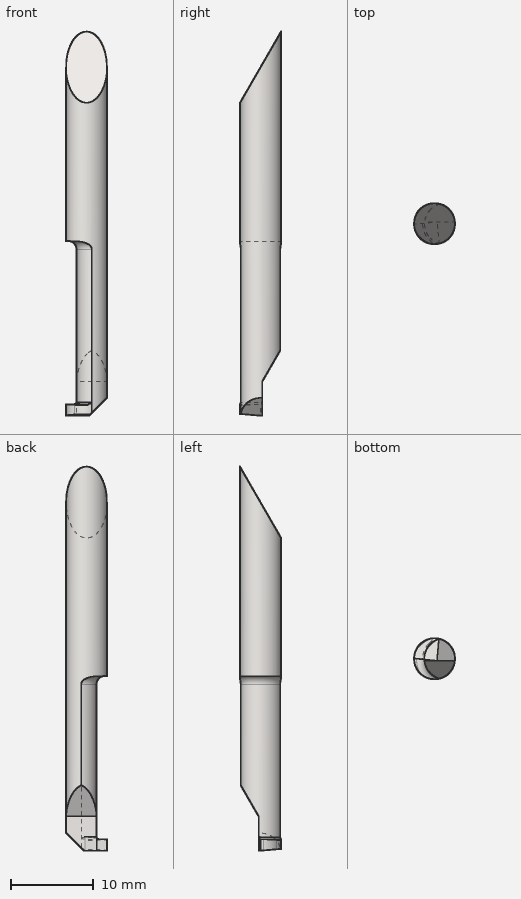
import cadquery as cq
import math

LENGTH = 46.6
DIAMETER = 5.0
RADIUS = DIAMETER / 2
END_ANGLE = 60.0
NECK_OFFSET = 1.25
SHOULDER_Z = 21.2
SHOULDER_FILLET = 1.0
FLAT_Y = 0.25
FLAT_TOP_Z = 4.2
BEVEL_HEIGHT = 2.2

HEAD_HEIGHT = 1.45
TOP_CLEARANCE = 0.15
BOTTOM_CLEARANCE = 0.25
HEAD_FILLET = 0.25
LAND_X = -2.45
LAND_Y = -0.33
FLANK_X = -2.2
FLANK_Y = -1.15
HEEL_X = -1.5
HEEL_Y = -1.9
EDGE_Y = -0.05
RAKE_END_X = 0.2
RAKE_TOP_Z = 1.72

MARGIN = 0.95
REACH = RADIUS + MARGIN
MEET_X = NECK_OFFSET / 2
MEET_Y = -math.sqrt(RADIUS**2 - MEET_X**2)


def side_prism(points):
    """Prism across the full X width from (y, z) points."""
    return cq.Workplane("YZ").polyline(points).close().extrude(REACH, both=True)


def upper_end_cut():
    slope = math.tan(math.radians(END_ANGLE))
    rise = slope * REACH
    centre_z = LENGTH - slope * RADIUS
    return side_prism([
        (-REACH, centre_z - rise),
        (REACH, centre_z + rise),
        (-REACH, centre_z + rise),
    ])


def rear_cut():
    ramp_rise = (REACH - FLAT_Y) * math.tan(math.radians(END_ANGLE))
    return side_prism([
        (FLAT_Y, -MARGIN),
        (FLAT_Y, FLAT_TOP_Z),
        (REACH, FLAT_TOP_Z + ramp_rise),
        (REACH, -MARGIN),
    ])


def bottom_clearance_cut():
    """Wedge below the end face, which rises towards the front."""
    slope = BOTTOM_CLEARANCE / (RADIUS + FLAT_Y)
    return side_prism([
        (FLAT_Y, 0),
        (-REACH, slope * (REACH + FLAT_Y)),
        (-REACH, -MARGIN),
        (FLAT_Y, -MARGIN),
    ])


def rake_cut():
    """Wedge that inclines the rear flat towards the cutting edge."""
    rise_per_x = (FLAT_Y - EDGE_Y) / (RAKE_END_X + RADIUS)
    return (
        cq.Workplane("XY")
        .workplane(offset=-MARGIN)
        .polyline([
            (RAKE_END_X, FLAT_Y),
            (-REACH, EDGE_Y - rise_per_x * MARGIN),
            (-REACH, REACH),
            (RAKE_END_X, REACH),
        ])
        .close()
        .extrude(MARGIN + RAKE_TOP_Z)
    )


def concave_fillet(start, radius, turn):
    """Middle and end of an outward quarter arc; turn is 1 for rising, -1 for falling."""
    near = radius * (1 - math.sqrt(0.5))
    far = radius - near
    middle = (start[0] + near, start[1] + turn * far)
    end = (start[0] + radius, start[1] + turn * radius)
    return middle, end


def neck_cut():
    """Space around the offset neck circle, with a rounded shoulder above."""
    height = SHOULDER_Z + MARGIN
    outer_radius = NECK_OFFSET + REACH
    block = cq.Workplane("XY").circle(outer_radius).extrude(height).translate((NECK_OFFSET, 0, -MARGIN))
    fillet_start = (RADIUS, SHOULDER_Z - SHOULDER_FILLET)
    middle, end = concave_fillet(fillet_start, SHOULDER_FILLET, 1)
    core = (
        cq.Workplane("XZ")
        .moveTo(0, -MARGIN)
        .lineTo(RADIUS, -MARGIN)
        .lineTo(*fillet_start)
        .threePointArc(middle, end)
        .lineTo(0, SHOULDER_Z)
        .close()
        .revolve(360, (0, 0, 0), (0, 1, 0))
        .translate((NECK_OFFSET, 0, 0))
    )
    return block.cut(core)


def corner_bevel():
    return (
        cq.Workplane("XZ")
        .polyline([
            (RADIUS - BEVEL_HEIGHT - MARGIN, -MARGIN),
            (REACH, BEVEL_HEIGHT + MARGIN),
            (REACH, -MARGIN),
        ])
        .close()
        .extrude(REACH, both=True)
    )


def make_bar():
    bar = cq.Workplane("XY").circle(RADIUS).extrude(LENGTH)
    bar = bar.cut(upper_end_cut()).cut(neck_cut()).cut(rear_cut())
    return bar.cut(corner_bevel()).cut(bottom_clearance_cut()).cut(rake_cut())


def head_plan():
    """Outline of the head, before the neck is taken out of it."""
    front_middle_x = (HEEL_X + MEET_X) / 2
    front_middle_y = -math.sqrt(RADIUS**2 - front_middle_x**2)
    return (
        cq.Workplane("XY")
        .moveTo(NECK_OFFSET, FLAT_Y)
        .lineTo(-RADIUS, FLAT_Y)
        .lineTo(-RADIUS, EDGE_Y)
        .lineTo(LAND_X, LAND_Y)
        .threePointArc((FLANK_X, FLANK_Y), (HEEL_X, HEEL_Y))
        .threePointArc((front_middle_x, front_middle_y), (MEET_X, MEET_Y))
        .lineTo(NECK_OFFSET, MEET_Y)
        .close()
    )


def head_blend():
    """Ring with a concave quarter section around the neck, above the head."""
    fillet_start = (RADIUS, HEAD_HEIGHT + HEAD_FILLET)
    middle, end = concave_fillet(fillet_start, HEAD_FILLET, -1)
    return (
        cq.Workplane("XZ")
        .moveTo(*fillet_start)
        .threePointArc(middle, end)
        .lineTo(end[0], 0)
        .lineTo(RADIUS, 0)
        .close()
        .revolve(360, (0, 0, 0), (0, 1, 0))
        .translate((NECK_OFFSET, 0, 0))
    )


def make_head():
    """Crescent around the neck, ending at the cutting face."""
    top_slope = TOP_CLEARANCE / (RADIUS + FLAT_Y)
    tapered_slab = side_prism([
        (FLAT_Y, 0),
        (FLAT_Y, HEAD_HEIGHT),
        (-REACH, HEAD_HEIGHT - top_slope * (REACH + FLAT_Y)),
        (-REACH, 0),
    ])
    neck = cq.Workplane("XY").center(NECK_OFFSET, 0).circle(RADIUS).extrude(HEAD_HEIGHT)
    slab = head_plan().extrude(HEAD_HEIGHT).intersect(tapered_slab).cut(neck)
    blend = head_blend().intersect(head_plan().extrude(HEAD_HEIGHT + HEAD_FILLET))
    head = slab.union(blend)
    return head.cut(corner_bevel()).cut(bottom_clearance_cut()).cut(rake_cut())


bar = make_bar()
head = make_head()
result = cq.Compound.makeCompound([bar.solids().val(), head.solids().val()])